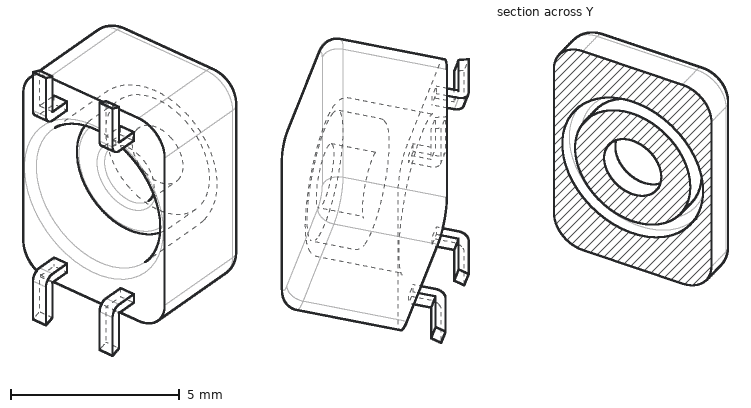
import cadquery as cq

body_width = 5.4
body_depth = 3.7
body_height = 7.3
corner_radius = 1.0
back_edge_radius = 0.5

recess_radius = 2.4
recess_depth = 3.0
recess_fillet = 0.25

boss_radius = 1.98
boss_top_depth = 1.54
hole_radius = 0.97
boss_edge_radius = 0.16

overall_height = 8.9
lead_width = 0.5
lead_thickness = 0.31
lead_reach = 1.0
lead_spacing = 2.54
lead_inner_z = 2.76
tip_slant = 0.11


def make_body():
    """Block with its four edges along Y rounded, and a rounded back rim."""
    block = cq.Workplane("XY").box(body_width, body_depth, body_height, centered=(True, False, True))
    return block.edges("|Y").fillet(corner_radius).faces(">Y").edges().fillet(back_edge_radius)


def make_recess():
    """Solid of revolution about Y that leaves the ring boss standing.

    The profile is drawn as (radius, depth) and follows the cavity wall from the axis outwards.
    """
    hole_edge = hole_radius + boss_edge_radius
    boss_edge = boss_radius - boss_edge_radius
    boss_shoulder = boss_top_depth + boss_edge_radius
    mouth_radius = recess_radius + recess_fillet
    profile = (
        cq.Workplane("XY")
        .moveTo(0, 0)
        .lineTo(0, recess_depth)
        .lineTo(hole_radius, recess_depth)
        .lineTo(hole_radius, boss_shoulder)
        .radiusArc((hole_edge, boss_top_depth), -boss_edge_radius)
        .lineTo(boss_edge, boss_top_depth)
        .radiusArc((boss_radius, boss_shoulder), -boss_edge_radius)
        .lineTo(boss_radius, recess_depth)
        .lineTo(recess_radius - recess_fillet, recess_depth)
        .radiusArc((recess_radius, recess_depth - recess_fillet), recess_fillet)
        .lineTo(recess_radius, recess_fillet)
        .radiusArc((mouth_radius, 0), -recess_fillet)
        .close()
    )
    return profile.revolve(360, (0, 0, 0), (0, 1, 0))


def make_lead(x_centre):
    """Upper lead: a leg out of the open face, bent upwards, with a slanted tip."""
    leg_outer_z = lead_inner_z + lead_thickness
    tip_z = overall_height / 2
    inner_face_y = lead_thickness - lead_reach
    outline = (
        cq.Workplane("YZ", origin=(x_centre, 0, 0))
        .moveTo(0, lead_inner_z)
        .lineTo(0, leg_outer_z)
        .lineTo(inner_face_y, leg_outer_z)
        .lineTo(inner_face_y, tip_z - tip_slant)
        .lineTo(-lead_reach, tip_z)
        .lineTo(-lead_reach, leg_outer_z)
        .radiusArc((inner_face_y, lead_inner_z), -lead_thickness)
        .close()
    )
    return outline.extrude(lead_width / 2, both=True)


result = make_body().cut(make_recess())
for x_centre in (-lead_spacing / 2, lead_spacing / 2):
    upper_lead = make_lead(x_centre)
    result = result.union(upper_lead).union(upper_lead.mirror("XY"))